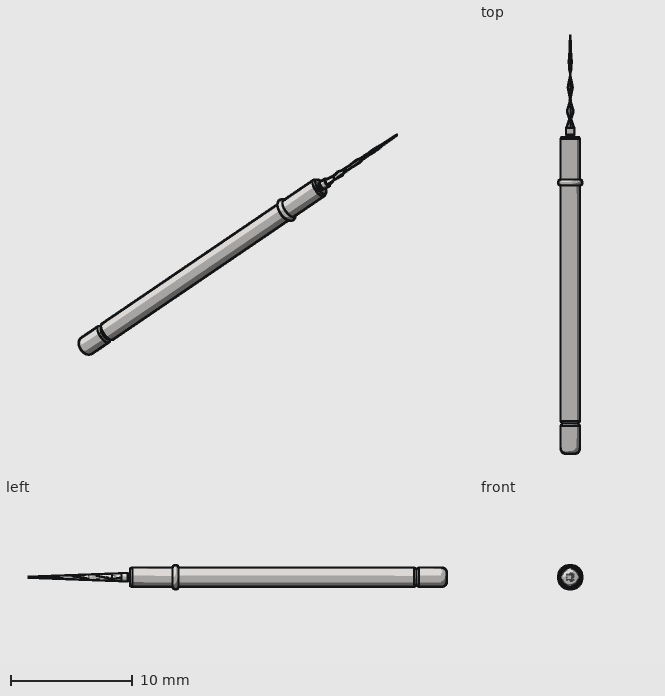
import cadquery as cq

total_length = 34.3
body_length = 26.0
body_radius = 0.8

end_fillet = 0.45
front_chamfer_length = 0.2
front_chamfer_depth = 0.1

collar_radius = 1.0
collar_length = 0.5
collar_rear = body_length - 4.0

groove_center = 2.5
groove_half_width = 0.2
groove_depth = 0.15

shank_radius = 0.36
shank_length = 0.55
shank_chamfer = 0.05
neck_radius = 0.3
neck_length = 0.15
shank_rear = body_length + neck_length
shank_front = shank_rear + shank_length
shank_overlap = 0.1

tip_height = 0.1
height_taper = 0.075
flat_thickness = 0.16
tip_thickness = 0.05
lobe_distances = (2.15, 4.25, 6.2)
lobe_half_length = 0.65
lobe_slant = 0.5
needle_length = total_length - shank_front + shank_overlap


def make_handle():
    """Turned handle: rounded end, groove, bulging collar and chamfered end, revolved about Y."""
    handle = (
        cq.Workplane("YZ")
        .moveTo(0, 0)
        .lineTo(0, body_radius - end_fillet)
        .radiusArc((end_fillet, body_radius), end_fillet)
        .lineTo(groove_center - groove_half_width, body_radius)
        .lineTo(groove_center, body_radius - groove_depth)
        .lineTo(groove_center + groove_half_width, body_radius)
        .lineTo(collar_rear, body_radius)
        .threePointArc(
            (collar_rear + collar_length / 2, collar_radius),
            (collar_rear + collar_length, body_radius),
        )
        .lineTo(body_length - front_chamfer_length, body_radius)
        .lineTo(body_length, body_radius - front_chamfer_depth)
        .lineTo(body_length, 0)
        .close()
        .revolve(360, (0, 0, 0), (1, 0, 0))
    )
    return handle


def make_disc(radius, rear, length):
    """Round section of the given radius, running toward +Y from rear."""
    return cq.Workplane("XZ", origin=(0, rear, 0)).circle(radius).extrude(-length)


def make_shank():
    """Thin neck on the handle and the wider shank with its rear rim chamfered."""
    neck = make_disc(neck_radius, body_length, neck_length)
    shank = make_disc(shank_radius, shank_rear, shank_length).faces("<Y").edges().chamfer(shank_chamfer)
    return neck.union(shank)


def needle_section(distance, thickness, slant):
    """Four-cornered cross-section at a distance from the tip, its side corners offset in Z."""
    half_height = (tip_height + height_taper * distance) / 2
    half_thickness = thickness / 2
    side_z = slant * half_height
    y = total_length - distance
    corners = [
        (0, y, half_height),
        (-half_thickness, y, side_z),
        (0, y, -half_height),
        (half_thickness, y, -side_z),
    ]
    return cq.Wire.makePolygon([cq.Vector(*corner) for corner in corners], close=True)


def make_needle():
    """Ruled blade whose side crests sweep from top to bottom at each lobe."""
    sections = [needle_section(0, tip_thickness, 0)]
    for distance in lobe_distances:
        crest_width = tip_height + height_taper * distance
        sections.append(needle_section(distance - lobe_half_length, flat_thickness, lobe_slant))
        sections.append(needle_section(distance, crest_width, 0))
        sections.append(needle_section(distance + lobe_half_length, flat_thickness, -lobe_slant))
    sections.append(needle_section(needle_length, 2 * shank_radius, 0))
    return cq.Workplane(cq.Solid.makeLoft(sections, True))


result = make_handle().union(make_shank()).union(make_needle())